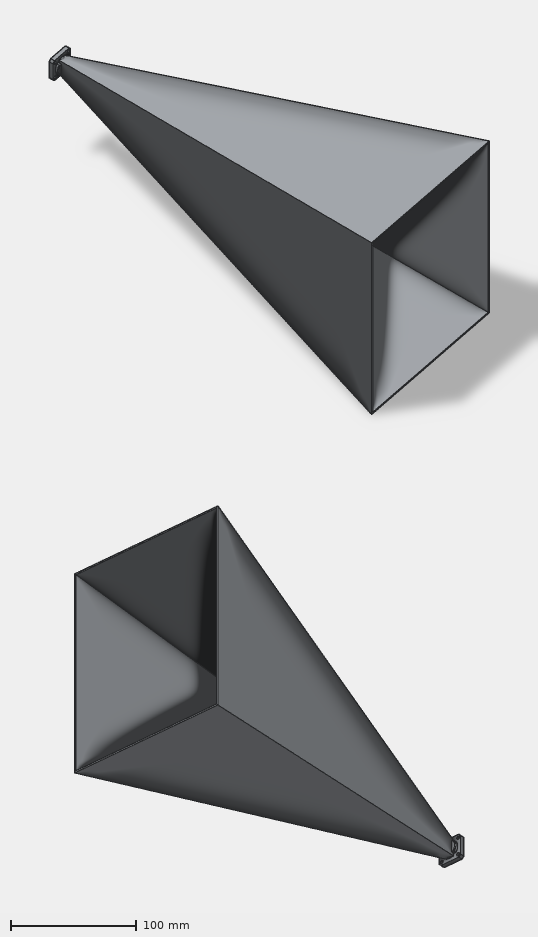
import cadquery as cq
import math

overall_length = 385.06
mouth_width = 148.84
mouth_height = 194.41

side_slope = 0.1856
top_slope = 0.235
wall_thickness = 1.55

bore_width = 4.318
bore_height = 10.668

flange_size = 22.4
flange_thickness = 4.0
flange_corner_chamfer = 2.0
hole_spacing_y = 17.02
hole_spacing_z = 16.26
hole_diameter = 2.95

collar_diameter = 16.2
collar_side_height = 10.6
collar_end = 7.0
collar_chamfer = 0.7

horn_length = overall_length - flange_thickness
throat_width = mouth_width - 2 * side_slope * horn_length
throat_height = mouth_height - 2 * top_slope * horn_length

side_wall = wall_thickness * math.hypot(1, side_slope)
top_wall = wall_thickness * math.hypot(1, top_slope)

cavity_start = overall_length - (mouth_width / 2 - side_wall - bore_width / 2) / side_slope


def section(x, width, height):
    """Rectangle centred on the X axis, in the plane at the given X."""
    return cq.Workplane("YZ", origin=(x, 0, 0)).rect(width, height)


def loft_between(x_start, start_size, x_end, end_size):
    """Straight-sided frustum between two rectangles on the X axis."""
    return (
        section(x_start, *start_size)
        .workplane(offset=x_end - x_start)
        .rect(*end_size)
        .loft(ruled=True)
    )


def make_flange():
    flange = section(0, flange_size, flange_size).extrude(flange_thickness)
    flange = flange.edges("|X").chamfer(flange_corner_chamfer)
    holes = (
        cq.Workplane("YZ")
        .rect(hole_spacing_y, hole_spacing_z, forConstruction=True)
        .vertices()
        .circle(hole_diameter / 2)
        .extrude(flange_thickness)
    )
    return flange.cut(holes)


def make_collar():
    collar_length = collar_end - flange_thickness
    disc = (
        cq.Workplane("YZ", origin=(flange_thickness, 0, 0))
        .circle(collar_diameter / 2)
        .extrude(collar_length)
        .faces(">X")
        .chamfer(collar_chamfer)
    )
    ears = section(flange_thickness, collar_diameter, collar_side_height).extrude(collar_length)
    middle = section(flange_thickness, throat_width, collar_diameter).extrude(collar_length)
    return disc.intersect(ears.union(middle))


def make_horn_outside():
    throat_size = (throat_width, throat_height)
    return loft_between(flange_thickness, throat_size, overall_length, (mouth_width, mouth_height))


def make_horn_cavity():
    inner_mouth = (mouth_width - 2 * side_wall, mouth_height - 2 * top_wall)
    return loft_between(cavity_start, (bore_width, bore_height), overall_length, inner_mouth)


bore = section(0, bore_width, bore_height).extrude(cavity_start)

result = (
    make_flange()
    .union(make_collar())
    .union(make_horn_outside())
    .cut(make_horn_cavity())
    .cut(bore)
)